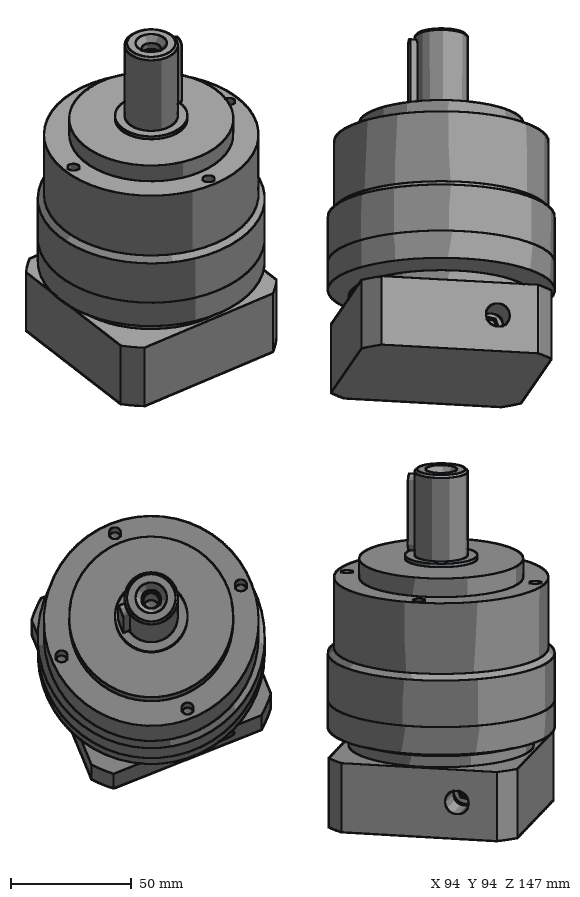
import cadquery as cq
import math

total_height = 147.0
block_top = 29.5
neck_top = 34.3
taper_top = 37.0
joint_height = 48.8
shoulder_bottom = 68.6
shoulder_top = 70.9
housing_top = 101.0
pilot_top = 109.0
collar_top = 110.4

body_diameter = 94.0
body_radius = body_diameter / 2
housing_radius = 44.4
pilot_radius = 34.0
neck_radius = 38.4

block_side = 80.1
block_corner_radius = 51.9

mount_hole_count = 4
mount_hole_circle_radius = 40.0
mount_hole_radius = 2.5
mount_hole_depth = 10.0

shaft_radius = 11.0
shaft_chamfer = 1.0
collar_radius = 15.0
countersink_radius = 6.5
countersink_depth = 2.8
thread_radius = 4.0
thread_depth = 5.7
core_radius = 3.2
core_depth = 20.0
drill_tip_angle = 120.0
drill_tip_slope = 1 / math.tan(math.radians(drill_tip_angle / 2))

key_width = 6.0
key_length = 32.6
key_bottom = 111.7
key_outer_y = 13.5
key_thickness = 6.0

access_y = -16.0
access_z = 15.6
access_radius = 5.0
access_depth = 15.0
access_face_x = -block_side / 2
screw_face_x = access_face_x + access_depth
screw_z = 16.2
screw_radius = 5.0
screw_length = 6.0
screw_edge_fillet = 0.6
socket_sides = 6
socket_corner_diameter = 5.9
socket_depth = 3.0
socket_turn = 10.0


def turned(points):
    """Revolve an outline of (radius, height) points about the Z axis."""
    return cq.Workplane("XZ").polyline(points).close().revolve(360, (0, 0), (0, 1))


def round_bar_along_x(radius, start_x, length, y, z):
    return cq.Workplane("YZ", origin=(start_x, y, z)).circle(radius).extrude(length)


def make_housing():
    housing = turned([
        (0, joint_height),
        (body_radius, joint_height),
        (body_radius, shoulder_bottom),
        (housing_radius, shoulder_top),
        (housing_radius, housing_top),
        (pilot_radius, housing_top),
        (pilot_radius, pilot_top),
        (0, pilot_top),
    ])
    floor = housing_top - mount_hole_depth
    mount_hole = turned([
        (0, housing_top),
        (mount_hole_radius, housing_top),
        (mount_hole_radius, floor),
        (0, floor - mount_hole_radius * drill_tip_slope),
    ]).translate((mount_hole_circle_radius, 0, 0))
    for i in range(mount_hole_count):
        angle = i * 360 / mount_hole_count
        housing = housing.cut(mount_hole.rotate((0, 0, 0), (0, 0, 1), angle))
    return housing


def make_key():
    middle_z = key_bottom + key_length / 2
    return (
        cq.Workplane("XZ", origin=(0, key_outer_y, middle_z))
        .slot2D(key_length, key_width, 90)
        .extrude(key_thickness)
    )


def make_shaft(key):
    blank = turned([
        (0, pilot_top),
        (collar_radius, pilot_top),
        (collar_radius, collar_top),
        (shaft_radius, collar_top),
        (shaft_radius, total_height - shaft_chamfer),
        (shaft_radius - shaft_chamfer, total_height),
        (0, total_height),
    ])
    centre_hole = turned([
        (0, total_height),
        (countersink_radius, total_height),
        (thread_radius, total_height - countersink_depth),
        (thread_radius, total_height - thread_depth),
        (core_radius, total_height - thread_depth),
        (core_radius, total_height - core_depth),
        (0, total_height - core_depth - core_radius * drill_tip_slope),
    ])
    return blank.cut(centre_hole).cut(key)


def make_adapter():
    block = cq.Workplane("XY").rect(block_side, block_side).extrude(block_top)
    corner_limit = cq.Workplane("XY").circle(block_corner_radius).extrude(block_top)
    flange = turned([
        (0, block_top),
        (neck_radius, block_top),
        (neck_radius, neck_top),
        (body_radius, taper_top),
        (body_radius, joint_height),
        (0, joint_height),
    ])
    access_hole = round_bar_along_x(access_radius, access_face_x, access_depth, access_y, access_z)
    return block.intersect(corner_limit).union(flange).cut(access_hole).cut(make_screw_blank())


def make_screw_blank():
    """Plain cylinder that fills the screw's seat, before its edge is rounded."""
    return round_bar_along_x(screw_radius, screw_face_x, screw_length, access_y, screw_z)


def make_screw():
    socket = (
        cq.Workplane("YZ", origin=(screw_face_x, access_y, screw_z))
        .transformed(rotate=(0, 0, socket_turn))
        .polygon(socket_sides, socket_corner_diameter)
        .extrude(socket_depth)
    )
    blank = make_screw_blank().faces("<X").edges().fillet(screw_edge_fillet)
    return blank.cut(socket)


housing = make_housing()
key = make_key()
shaft = make_shaft(key)
adapter = make_adapter()
screw = make_screw()

result = cq.Compound.makeCompound([
    housing.val(),
    shaft.val(),
    key.val(),
    adapter.val(),
    screw.val(),
])